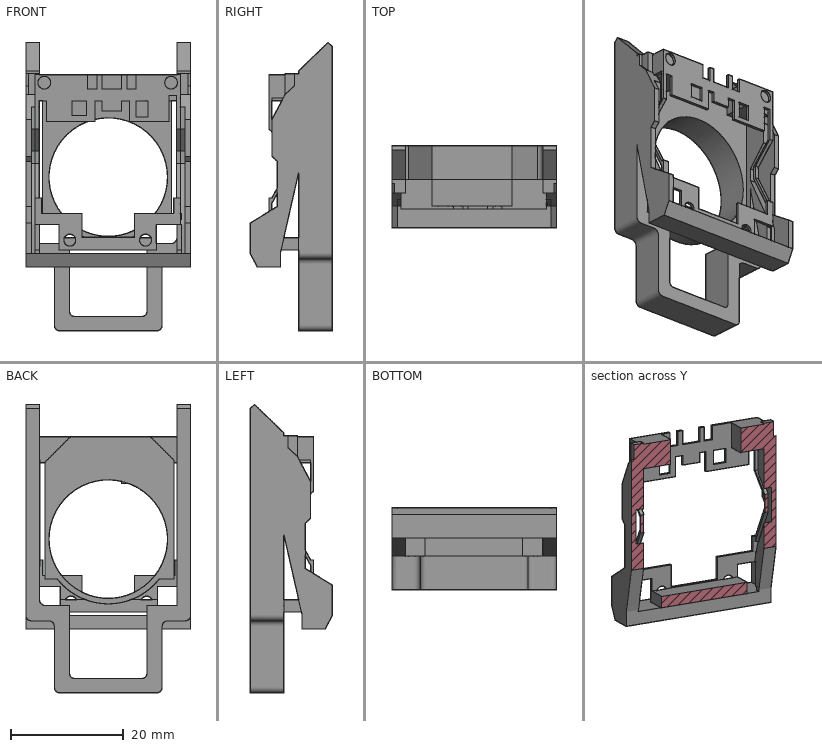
import cadquery as cq


half_width = 14.64
full_height = 51.21
top_z = 23.90
bottom_z = top_z - full_height
frame_depth = 6.0
full_depth = 14.62

rail_inner_x = 12.17
rail_tip_depth = 0.8
rail_tip_drop = 0.7
rail_slope_end_z = 18.87
foot_top_z = -11.77
foot_bottom_z = -14.5
foot_outer_radius = 1.0
foot_inner_radius = 1.0
handle_outer_x = 9.58
handle_inner_x = 6.84
handle_bar_height = 2.6
handle_outer_radius = 1.0
handle_inner_radius = 0.8
handle_root_radius = 1.0

bore_radius = 10.5
collar_radius = 11.5
block_left_x = -11.68
block_right_x = 11.23
block_crown_left_x = -7.47
block_crown_right_x = 6.68
block_top_z = 18.2
block_bottom_z = -7.1

wall_inner_x = 13.62
arm_waist_depth = 9.8
arm_waist_top_z = 2.8
arm_waist_bottom_z = -5.2
arm_front_top_z = 10.2
arm_front_bottom_z = 3.7
arm_heel_z = -13.3
arm_root_z = 0.7
shelf_back_depth = 9.19
shelf_front_depth = 13.35
shelf_top_z = -13.55
shelf_bottom_z = -15.97
wall_top_z = -8.16
pocket_top_z = 12.42
pocket_top_depth = 9.55

ear_outer_x = 14.13
ear_top_z = 18.39
ear_bottom_z = 14.68
ear_depth = 8.4
arm_top_depth = 6.74
arm_shoulder_z = 16.2

clip_center_x = -0.1
clip_half_width = 12.92
clip_left_x = clip_center_x - clip_half_width
clip_right_x = clip_center_x + clip_half_width
plate_back_depth = 10.77
plate_front_depth = 11.29
plate_thickness = plate_front_depth - plate_back_depth

tab_bend_z = 8.55
tab_width = 0.72
slit_width = 1.3
window_top_z = 13.55
box_end_bottom_z = 14.03
right_slit_top_z = 14.5
upper_plate_bottom_z = 9.84
upper_hole_radius = 1.13
upper_hole_z = 16.77
upper_hole_offset = 11.25
notch_bottom_z = 15.6
top_notches = [(-3.65, -2.0), (-1.1, 2.35), (3.3, 4.93)]
lower_notch = (-2.35, 3.8)
tooth = (-1.1, 2.35)
tooth_bottom_z = 11.77
left_window = (-6.4, -3.9)
left_window_bottom_z = 10.94
right_window = (4.9, 7.03)
right_window_bottom_z = 10.65

strip_depth = 7.42
strip_top_z = tab_bend_z - (plate_front_depth - strip_depth)
strip_bottom_z = 2.4

leg_top_z = -3.7
leg_width = 1.2
band_top_z = -6.45
band_bottom_z = -8.42
tongue_half_width = 8.65
lower_plate_bottom_z = -12.94
saddle_half_width = 4.64
saddle_z = -10.65
lower_hole_radius = 1.05
lower_hole_z = -11.2
lower_hole_offset = 6.72
stub_outer_x = 12.97
stub_back_depth = 10.0
stub_front_depth = 10.5

bar_top_z = -10.74


def box(x_range, depth_range, z_range):
    """Block spanning the given X, depth and Z ranges."""
    x0, x1 = x_range
    d0, d1 = depth_range
    z0, z1 = z_range
    return cq.Workplane("XY").box(x1 - x0, d1 - d0, z1 - z0, centered=False).translate((x0, -d1, z0))


def front_prism(points, depth_range):
    """Outline in (X, Z) extruded through a depth range."""
    d0, d1 = depth_range
    return cq.Workplane("XZ", origin=(0, -d0, 0)).polyline(points).close().extrude(d1 - d0)


def side_prism(points, x_range):
    """Outline in (depth, Z) extruded through an X range."""
    x0, x1 = x_range
    outline = [(-depth, z) for depth, z in points]
    return cq.Workplane("YZ", origin=(x0, 0, 0)).polyline(outline).close().extrude(x1 - x0)


def disc(x, z, radius, depth_range):
    """Cylinder along Y."""
    d0, d1 = depth_range
    return cq.Workplane("XZ", origin=(x, -d0, z)).circle(radius).extrude(d1 - d0)


def both_sides(body):
    return body.union(body.mirror("YZ"))


def make_frame():
    depth = (0, frame_depth)
    outline = box((-half_width, half_width), depth, (foot_bottom_z, top_z))
    outline = outline.edges("|Y and <Z").fillet(foot_outer_radius)
    opening = box((-rail_inner_x, rail_inner_x), depth, (foot_top_z, top_z))
    opening = opening.edges("|Y and <Z and >X").fillet(foot_inner_radius)
    handle = box((-handle_outer_x, handle_outer_x), depth, (bottom_z, foot_top_z))
    handle = handle.edges("|Y and <Z").fillet(handle_outer_radius)
    frame = outline.cut(opening).union(handle)
    margin = 0.1
    roots = cq.selectors.BoxSelector(
        (-handle_outer_x - margin, -full_depth, foot_bottom_z - margin),
        (handle_outer_x + margin, margin, foot_bottom_z + margin),
    )
    frame = frame.edges("|Y").edges(roots).fillet(handle_root_radius)
    handle_opening = box((-handle_inner_x, handle_inner_x), depth, (bottom_z + handle_bar_height, foot_top_z))
    handle_opening = handle_opening.edges("|Y and <Z").fillet(handle_inner_radius)
    frame = frame.cut(handle_opening)
    rail_profile = [
        (0, bottom_z),
        (0, top_z - rail_tip_drop),
        (rail_tip_depth, top_z),
        (frame_depth, rail_slope_end_z),
        (frame_depth, bottom_z),
    ]
    return frame.intersect(side_prism(rail_profile, (-half_width, half_width)))


def make_block():
    depth = (0, frame_depth)
    left_shoulder_z = block_top_z - (block_crown_left_x - block_left_x)
    right_shoulder_z = block_top_z - (block_right_x - block_crown_right_x)
    outline = [
        (block_left_x, block_bottom_z),
        (block_left_x, left_shoulder_z),
        (block_crown_left_x, block_top_z),
        (block_crown_right_x, block_top_z),
        (block_right_x, right_shoulder_z),
        (block_right_x, block_bottom_z),
    ]
    collar = disc(0, 0, collar_radius, depth)
    collar = collar.intersect(box((-collar_radius, collar_radius), depth, (-collar_radius, block_bottom_z)))
    block = front_prism(outline, depth).union(collar)
    return block.cut(disc(0, 0, bore_radius, depth))


def make_arms():
    profile = [
        (frame_depth, ear_top_z),
        (arm_top_depth, ear_top_z),
        (arm_top_depth, arm_shoulder_z),
        (ear_depth, ear_bottom_z),
        (plate_back_depth, arm_front_top_z),
        (plate_back_depth, arm_front_bottom_z),
        (arm_waist_depth, arm_waist_top_z),
        (arm_waist_depth, arm_waist_bottom_z),
        (full_depth, wall_top_z),
        (full_depth, shelf_top_z),
        (shelf_front_depth, shelf_bottom_z),
        (shelf_back_depth, shelf_bottom_z),
        (shelf_back_depth, arm_heel_z),
        (frame_depth, arm_root_z),
    ]
    pocket = [
        (full_depth, pocket_top_z),
        (pocket_top_depth, pocket_top_z),
        (pocket_top_depth, tab_bend_z),
        (frame_depth, strip_top_z),
        (frame_depth, strip_bottom_z),
        (arm_waist_depth, arm_waist_bottom_z),
        (plate_back_depth, band_bottom_z),
        (plate_back_depth, shelf_top_z),
        (full_depth, shelf_top_z),
    ]
    arm = side_prism(profile, (rail_inner_x, half_width))
    arm = arm.cut(side_prism(pocket, (rail_inner_x, wall_inner_x)))
    seat_depth = (stub_back_depth, plate_back_depth)
    seat = box((rail_inner_x, stub_outer_x), seat_depth, (shelf_top_z, band_bottom_z))
    arm = arm.cut(seat)
    ear = box((rail_inner_x, ear_outer_x), (frame_depth, ear_depth), (ear_bottom_z, ear_top_z))
    return both_sides(arm.union(ear))


def make_shelf():
    profile = [
        (shelf_back_depth, shelf_top_z),
        (full_depth, shelf_top_z),
        (shelf_front_depth, shelf_bottom_z),
        (shelf_back_depth, shelf_bottom_z),
    ]
    return side_prism(profile, (-half_width, half_width))


def make_clip_boxes():
    depth = (frame_depth, plate_back_depth)
    height = (window_top_z, block_top_z)
    left = box((clip_left_x, block_crown_left_x), depth, height)
    right = box((block_crown_right_x, clip_right_x), depth, height)
    boxes = left.union(right)
    for end_x in (clip_left_x, clip_right_x - tab_width):
        boxes = boxes.cut(box((end_x, end_x + tab_width), depth, (window_top_z, box_end_bottom_z)))
    return boxes


def make_upper_plate():
    depth = (plate_back_depth, plate_front_depth)
    slit_left_x = clip_left_x + tab_width
    slit_right_x = clip_right_x - tab_width
    plate = box((clip_left_x, clip_right_x), depth, (tab_bend_z, block_top_z))
    openings = [
        ((slit_left_x, slit_right_x), (tab_bend_z, upper_plate_bottom_z)),
        ((slit_left_x, slit_left_x + slit_width), (tab_bend_z, window_top_z)),
        ((slit_right_x - slit_width, slit_right_x), (tab_bend_z, right_slit_top_z)),
        ((lower_notch[0], tooth[0]), (tab_bend_z, window_top_z)),
        (tooth, (tab_bend_z, tooth_bottom_z)),
        ((tooth[1], lower_notch[1]), (tab_bend_z, window_top_z)),
        (left_window, (left_window_bottom_z, window_top_z)),
        (right_window, (right_window_bottom_z, window_top_z)),
    ]
    for notch in top_notches:
        openings.append((notch, (notch_bottom_z, block_top_z)))
    for x_range, z_range in openings:
        plate = plate.cut(box(x_range, depth, z_range))
    for side in (-1, 1):
        hole_x = clip_center_x + side * upper_hole_offset
        plate = plate.cut(disc(hole_x, upper_hole_z, upper_hole_radius, depth))
    return plate


def make_strips():
    front_line = [
        (plate_front_depth, tab_bend_z),
        (strip_depth, strip_top_z),
        (strip_depth, strip_bottom_z),
        (plate_back_depth, leg_top_z),
    ]
    back_line = [
        (plate_back_depth, leg_top_z - 2 * plate_thickness),
        (strip_depth - plate_thickness, strip_bottom_z),
        (strip_depth - plate_thickness, strip_top_z),
        (plate_back_depth, tab_bend_z),
    ]
    profile = front_line + back_line
    left = side_prism(profile, (clip_left_x, clip_left_x + tab_width))
    right = side_prism(profile, (clip_right_x - tab_width, clip_right_x))
    return left.union(right)


def make_lower_plate():
    depth = (plate_back_depth, plate_front_depth)
    tongue_x = (clip_center_x - tongue_half_width, clip_center_x + tongue_half_width)
    plate = box((clip_left_x, clip_right_x), depth, (band_bottom_z, band_top_z))
    plate = plate.union(box(tongue_x, depth, (lower_plate_bottom_z, band_top_z)))
    plate = plate.cut(box((-saddle_half_width, saddle_half_width), depth, (saddle_z, band_top_z)))
    for leg_x in (clip_left_x, clip_right_x - leg_width):
        plate = plate.union(box((leg_x, leg_x + leg_width), depth, (band_bottom_z, leg_top_z)))
    for side in (-1, 1):
        hole_x = clip_center_x + side * lower_hole_offset
        plate = plate.cut(disc(hole_x, lower_hole_z, lower_hole_radius, depth))
    bar = box(tongue_x, (frame_depth, plate_back_depth), (lower_plate_bottom_z, bar_top_z))
    stub = box(
        (rail_inner_x, stub_outer_x),
        (stub_back_depth, stub_front_depth),
        (lower_plate_bottom_z, band_top_z),
    )
    return plate.union(bar).union(both_sides(stub))


result = (
    make_frame()
    .union(make_block())
    .union(make_arms())
    .union(make_shelf())
    .union(make_clip_boxes())
    .union(make_upper_plate())
    .union(make_strips())
    .union(make_lower_plate())
)